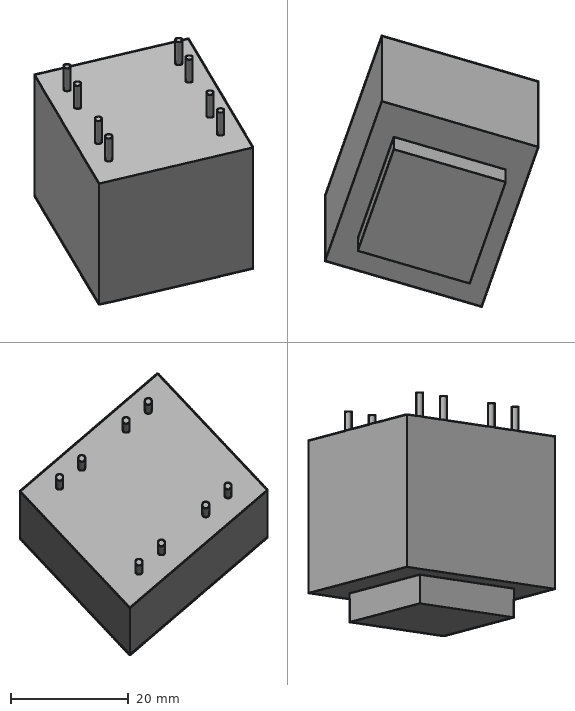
import cadquery as cq

total_height = 36.5
housing_length = 31.5
housing_width = 28.0
pad_side = 20.0
pad_height = 5.0
pin_height = 5.0
pin_diameter = 1.2
pin_pitch = 5.07
corner_pin_shift = 0.07

block_height = total_height - pad_height - pin_height

outer_pin = 2 * pin_pitch
front_columns = [-outer_pin, -pin_pitch, pin_pitch, outer_pin]
back_columns = [-outer_pin, -pin_pitch, pin_pitch, outer_pin + corner_pin_shift]
pin_places = [(x, -outer_pin) for x in front_columns] + [(x, outer_pin) for x in back_columns]


def make_housing():
    """Rectangular block, base at Z = 0, with a centred square pad below it."""
    block = cq.Workplane("XY").rect(housing_length, housing_width).extrude(block_height)
    pad = cq.Workplane("XY").rect(pad_side, pad_side).extrude(-pad_height)
    return block.union(pad)


def make_pin(x, y):
    """Round pin standing on the top face of the housing."""
    return (
        cq.Workplane("XY", origin=(x, y, block_height))
        .circle(pin_diameter / 2)
        .extrude(pin_height)
    )


housing = make_housing()
pins = [make_pin(x, y) for x, y in pin_places]

result = cq.Compound.makeCompound([housing.val(), *[pin.val() for pin in pins]])